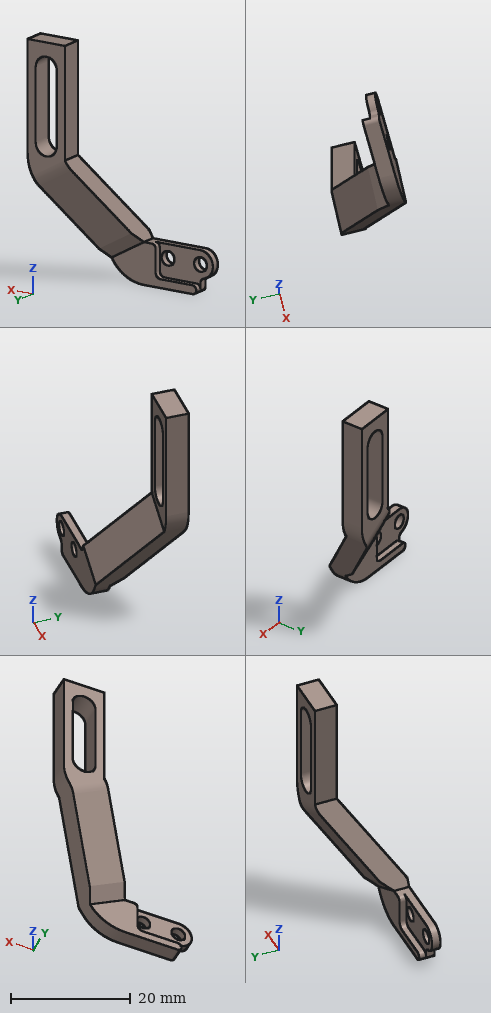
import math

import cadquery as cq

length = 29.38
depth = 13.34
height = 42.89

strip_width = 7.5
lean_angle = math.radians(60)
lower_elbow_x = 13.0
lower_elbow_z = strip_width
upper_elbow_x = length - strip_width
lean_length = (upper_elbow_x - lower_elbow_x) / math.cos(lean_angle)
upper_elbow_z = lower_elbow_z + lean_length * math.sin(lean_angle)

eye_radius = 2.5
eye_x = eye_radius
eye_z = strip_width - eye_radius
heel_x = eye_x
heel_fillet = 0.78
neck_fillet = 0.8

hole_diameter = 2.53
hole_pitch = 6.5

slot_width = 4.2
slot_length = 17.4
slot_top_margin = 2.5

foot_thickness = 2.8
arm_thickness = 4.0
bend_angle = math.radians(30)
bend_slope = math.tan(bend_angle)
front_rise = depth - arm_thickness

web_thickness = 1.55
rail_height = 2 * heel_fillet
recess_wall_x = 10.65
recess_corner_radius = 1.0
recess_lip_radius = 0.8

margin = 1.0


def extrude_back(profile, distance):
    """Extrude a profile on the XZ plane toward +Y."""
    return profile.extrude(-distance)


def elbow_arc_point(x, z, turn):
    """Point on the outer elbow arc, at an angle from straight down about the inner corner."""
    return (x + strip_width * math.sin(turn), z - strip_width * math.cos(turn))


def make_outline():
    """Flat strip outline, extruded through the full depth."""
    lower_mid = elbow_arc_point(lower_elbow_x, lower_elbow_z, lean_angle / 2)
    lower_end = elbow_arc_point(lower_elbow_x, lower_elbow_z, lean_angle)
    upper_start = elbow_arc_point(upper_elbow_x, upper_elbow_z, lean_angle)
    upper_mid = elbow_arc_point(upper_elbow_x, upper_elbow_z, (lean_angle + math.pi / 2) / 2)

    neck_x = heel_x - neck_fillet
    neck_z = eye_z - math.sqrt((eye_radius + neck_fillet) ** 2 - neck_fillet**2)
    neck_angle = math.atan2(eye_z - neck_z, eye_x - neck_x)
    neck_mid = (
        neck_x + neck_fillet * math.cos(neck_angle / 2),
        neck_z + neck_fillet * math.sin(neck_angle / 2),
    )
    neck_end = (
        neck_x + neck_fillet * math.cos(neck_angle),
        neck_z + neck_fillet * math.sin(neck_angle),
    )

    profile = (
        cq.Workplane("XZ")
        .moveTo(heel_x + heel_fillet, 0)
        .lineTo(lower_elbow_x, 0)
        .threePointArc(lower_mid, lower_end)
        .lineTo(*upper_start)
        .threePointArc(upper_mid, (length, upper_elbow_z))
        .lineTo(length, height)
        .lineTo(upper_elbow_x, height)
        .lineTo(upper_elbow_x, upper_elbow_z)
        .lineTo(lower_elbow_x, lower_elbow_z)
        .lineTo(eye_x, eye_z + eye_radius)
        .threePointArc((eye_x - eye_radius, eye_z), neck_end)
        .threePointArc(neck_mid, (heel_x, neck_z))
        .lineTo(heel_x, heel_fillet)
        .radiusArc((heel_x + heel_fillet, 0), -heel_fillet)
        .close()
    )
    return extrude_back(profile, depth)


def back_bend_point(turn):
    """Section point one arm thickness behind the upper front bend edge, at an angle from +Y."""
    return (
        lean_length - arm_thickness * math.sin(turn),
        front_rise + arm_thickness * math.cos(turn),
    )


def make_bent_slab():
    """Bent side section, drawn along the lean from the lower elbow and extruded across the strip."""
    reach = length + height
    front_bend_start = lean_length - front_rise / bend_slope
    back_gap = arm_thickness / math.cos(bend_angle)

    ramp_length = (back_gap - foot_thickness - front_bend_start * bend_slope) / (1 - bend_slope)

    upper_arc_start = back_bend_point(bend_angle)
    upper_arc_mid = back_bend_point(bend_angle / 2)
    upper_arc_end = back_bend_point(0)

    across = (-math.sin(lean_angle), 0, math.cos(lean_angle))
    along = (math.cos(lean_angle), 0, math.sin(lean_angle))
    section_plane = cq.Plane(origin=(lower_elbow_x, 0, lower_elbow_z), xDir=along, normal=across)
    return (
        cq.Workplane(section_plane)
        .moveTo(-reach, 0)
        .lineTo(front_bend_start, 0)
        .lineTo(lean_length, front_rise)
        .lineTo(reach, front_rise)
        .lineTo(reach, depth)
        .lineTo(*upper_arc_end)
        .threePointArc(upper_arc_mid, upper_arc_start)
        .lineTo(ramp_length, foot_thickness + ramp_length)
        .lineTo(0, foot_thickness)
        .lineTo(-reach, foot_thickness)
        .close()
        .extrude(reach, both=True)
    )


def make_recess():
    """Cutter that thins the foot behind the web, above the low rail."""
    lip_x = recess_wall_x + recess_lip_radius
    profile = (
        cq.Workplane("XZ", origin=(0, web_thickness, 0))
        .moveTo(-margin, heel_fillet)
        .lineTo(heel_x, heel_fillet)
        .radiusArc((heel_x + heel_fillet, rail_height), heel_fillet)
        .lineTo(recess_wall_x - recess_corner_radius, rail_height)
        .radiusArc((recess_wall_x, rail_height + recess_corner_radius), -recess_corner_radius)
        .lineTo(recess_wall_x, strip_width - recess_lip_radius)
        .radiusArc((lip_x, strip_width), recess_lip_radius)
        .lineTo(-margin, strip_width)
        .close()
    )
    return extrude_back(profile, foot_thickness)


def make_holes():
    """Cutters for the two round holes of the foot."""
    centers = [(eye_x, eye_z), (eye_x + hole_pitch, eye_z)]
    profile = cq.Workplane("XZ").pushPoints(centers).circle(hole_diameter / 2)
    return extrude_back(profile, depth)


def make_slot():
    """Cutter for the long slot of the upright top."""
    center_x = length - strip_width / 2
    center_z = height - slot_top_margin - slot_length / 2
    profile = cq.Workplane("XZ").center(center_x, center_z).slot2D(slot_length, slot_width, 90)
    return extrude_back(profile, depth)


body = make_outline().intersect(make_bent_slab())
result = body.cut(make_recess()).cut(make_holes()).cut(make_slot())